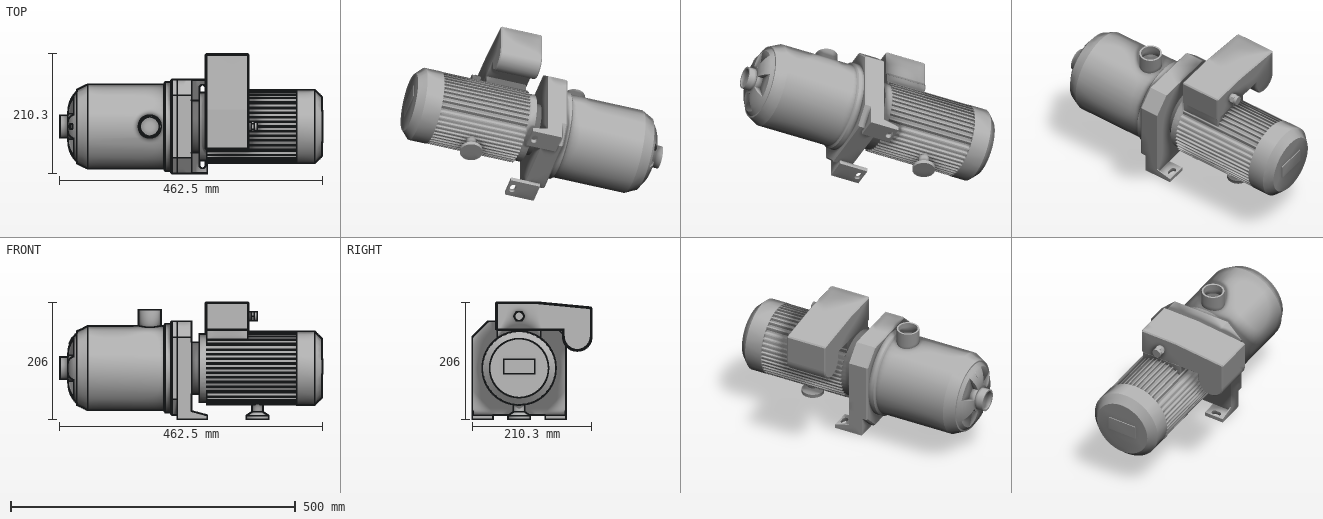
import cadquery as cq
import math


inlet_length = 14.5
pocket_floor_x = 24.5
casing_start = 30.0
shoulder_end = 49.5
ring_cone_start = 182.5
ring_start = 185.5
plate_start = 195.0
bracket_start = 206.0
bracket_end = 231.5
foot_end = 259.5
flange_start = 244.5
fins_start = 258.0
fan_cover_start = 416.5
fan_cover_cone = 447.5
fan_cover_end = 461.0
total_length = 462.5

port_diameter = 39.8
port_bore = 33.7
hub_radius = 24.5
dome_radius = 62.0
pocket_outer_radius = 58.0
pocket_count = 4
pocket_angle = 45.0

plug_diameter = 10.0
plug_height = 48.5
plug_rise = 1.0
plug_back = 27.7

casing_front_diameter = 130.0
casing_diameter = 149.0
ring_diameter = 156.5
outlet_x = 158.0
outlet_top = 102.5
outlet_floor = 83.0

plate_half = 82.8
corner_cut = 28.0
plate_bevel = 2.5
base_z = -90.0
foot_inner_y = 45.8
foot_top_z = -plate_half
rib_root_z = -75.5
rib_thickness = 2.0
slot_x = 250.5
slot_width = 10.0
slot_length = 18.0

neck_diameter = 91.0
core_diameter = 120.0
fin_tip_diameter = 129.0
fin_pitch = 8.15
fin_thickness = 2.0
outer_fin = 5
pedestal_length = 72.5
pedestal_half_width = 38.5
pedestal_top = 66.5

fan_cover_diameter = 130.0
fan_end_diameter = 103.5
badge_width = 54.5
badge_bottom = -10.0
badge_top = 15.3

box_start = 255.5
box_end = 332.0
box_front_y = -40.5
box_back_y = 127.5
box_top = 116.0
box_slope_y = 30.0
box_back_top = 107.0
drop_radius = 25.5
drop_center_z = 55.5
box_bevel = 2.1

gland_z = 91.0
gland_diameter = 16.0
gland_body_end = 336.0
gland_hex_end = 341.5
gland_end = 347.0

support_x = 347.0
support_post_diameter = 20.0
support_base_diameter = 39.8
support_cone_top = -76.7
support_cone_bottom = -83.5
support_top = -55.5


def revolved(points):
    """Solid of revolution about X from (x, radius) points, closed along the axis."""
    outline = [(points[0][0], 0), *points, (points[-1][0], 0)]
    return cq.Workplane("XY").polyline(outline).close().revolve(360, (0, 0, 0), (1, 0, 0))


def x_cylinder(start, end, diameter, y=0, z=0):
    """Cylinder along X between two stations."""
    return cq.Workplane("YZ", origin=(start, y, z)).circle(diameter / 2).extrude(end - start)


def block(x_range, y_range, z_range):
    """Axis-aligned block from its limits on each axis."""
    sides = [high - low for low, high in (x_range, y_range, z_range)]
    corner = (x_range[0], y_range[0], z_range[0])
    return cq.Workplane("XY").box(*sides, centered=False).translate(corner)


def plug_blank():
    return x_cylinder(inlet_length, plug_back, plug_diameter, z=plug_height)


def make_vent_plug():
    """Plug whose face follows the dome and stands slightly proud of it."""
    return plug_blank().intersect(make_dome().translate((-plug_rise, 0, 0)))


def make_dome():
    """Solid dome: an arc that leaves the flat hub face tangentially."""
    span = dome_radius - hub_radius
    sag = casing_start - inlet_length
    arc_radius = (span**2 + sag**2) / (2 * sag)
    half_sweep = math.asin(span / arc_radius) / 2
    arc_middle = (
        inlet_length + arc_radius * (1 - math.cos(half_sweep)),
        hub_radius + arc_radius * math.sin(half_sweep),
    )
    return (
        cq.Workplane("XY")
        .moveTo(inlet_length, 0)
        .lineTo(inlet_length, hub_radius)
        .threePointArc(arc_middle, (casing_start, dome_radius))
        .lineTo(casing_start, 0)
        .close()
        .revolve(360, (0, 0, 0), (1, 0, 0))
    )


def make_inlet_cover():
    tube = x_cylinder(0, inlet_length, port_diameter)
    bore = x_cylinder(0, inlet_length, port_bore)
    return make_dome().cut(pocket_ring()).cut(plug_blank()).union(tube.cut(bore))


def pocket_ring():
    """Wedge pockets on the diagonals, leaving four ribs between hub and rim."""
    depth = pocket_floor_x
    half_angle = math.radians(pocket_angle / 2)
    reach = 2 * pocket_outer_radius
    side = reach * math.sin(half_angle)
    along = reach * math.cos(half_angle)
    wedge = cq.Workplane("YZ").polyline([(0, 0), (along, -side), (along, side)]).close().extrude(depth)
    ring = x_cylinder(0, depth, 2 * pocket_outer_radius).cut(x_cylinder(0, depth, 2 * hub_radius))
    pocket = ring.intersect(wedge)
    step = 360 / pocket_count
    pockets = cq.Workplane("YZ")
    for index in range(pocket_count):
        pockets = pockets.union(pocket.rotate((0, 0, 0), (1, 0, 0), step * (index + 0.5)))
    return pockets


def make_casing():
    body = revolved([
        (casing_start, casing_front_diameter / 2),
        (shoulder_end, casing_diameter / 2),
        (ring_cone_start, casing_diameter / 2),
        (ring_start, ring_diameter / 2),
        (plate_start, ring_diameter / 2),
    ])
    axis_plane = cq.Workplane("XY", origin=(outlet_x, 0, 0))
    outlet = axis_plane.circle(port_diameter / 2).extrude(outlet_top)
    bore = (
        axis_plane.workplane(offset=outlet_floor)
        .circle(port_bore / 2)
        .extrude(outlet_top - outlet_floor)
    )
    return body.union(outlet).cut(bore)


def square_plate(start, end):
    side = 2 * plate_half
    return cq.Workplane("YZ", origin=(start, 0, 0)).rect(side, side).extrude(end - start)


def make_cover_plate():
    plate = square_plate(plate_start, bracket_start).edges("|X").chamfer(corner_cut)
    return plate.faces("<X").chamfer(plate_bevel)


def make_bracket():
    bracket = square_plate(bracket_start, bracket_end).edges("|X and >Z").chamfer(corner_cut)
    for foot in (make_bracket_foot(), make_bracket_foot().mirror("XZ")):
        bracket = bracket.union(foot)
    return bracket


def make_bracket_foot():
    """Flat foot on the +Y side with a slot across the pump axis and a sloping rib on its outer edge."""
    sole = block((bracket_start, foot_end), (foot_inner_y, plate_half), (base_z, foot_top_z))
    rib = (
        cq.Workplane("XZ", origin=(0, plate_half, 0))
        .polyline([(bracket_end, foot_top_z), (foot_end, foot_top_z), (bracket_end, rib_root_z)])
        .close()
        .extrude(rib_thickness)
    )
    slot = (
        cq.Workplane("XY", origin=(slot_x, (foot_inner_y + plate_half) / 2, base_z))
        .slot2D(slot_length, slot_width, 90)
        .extrude(foot_top_z - base_z)
    )
    return sole.union(rib).cut(slot)


def make_motor():
    motor = revolved([
        (bracket_end, neck_diameter / 2),
        (flange_start, neck_diameter / 2),
        (flange_start, core_diameter / 2),
        (fan_cover_start, core_diameter / 2),
    ])
    pedestal = block(
        (fins_start, fins_start + pedestal_length),
        (-pedestal_half_width, pedestal_half_width),
        (0, pedestal_top),
    )
    return motor.union(make_fins()).union(pedestal).cut(make_support())


def make_fins():
    """Cooling fins: parallel plates across the motor in both directions, turned to a cylinder."""
    span = (fins_start, fan_cover_start)
    radius = fin_tip_diameter / 2
    plates = cq.Workplane("XY")
    for index in range(-outer_fin, outer_fin + 1):
        middle = index * fin_pitch
        plate = block(span, (middle - fin_thickness / 2, middle + fin_thickness / 2), (-radius, radius))
        plates = plates.union(plate).union(plate.rotate((0, 0, 0), (1, 0, 0), 90))
    return plates.intersect(x_cylinder(*span, fin_tip_diameter))


def make_fan_cover():
    cover = revolved([
        (fan_cover_start, fan_cover_diameter / 2),
        (fan_cover_cone, fan_cover_diameter / 2),
        (fan_cover_end, fan_end_diameter / 2),
    ])
    badge = block(
        (fan_cover_end, total_length),
        (-badge_width / 2, badge_width / 2),
        (badge_bottom, badge_top),
    )
    return cover.union(badge)


def make_terminal_box():
    drop_inner_y = box_back_y - 2 * drop_radius
    drop_bottom = (box_back_y - drop_radius, drop_center_z - drop_radius)
    box = (
        cq.Workplane("YZ", origin=(box_start, 0, 0))
        .moveTo(box_front_y, pedestal_top)
        .lineTo(box_front_y, box_top)
        .lineTo(box_slope_y, box_top)
        .lineTo(box_back_y, box_back_top)
        .lineTo(box_back_y, drop_center_z)
        .threePointArc(drop_bottom, (drop_inner_y, drop_center_z))
        .lineTo(drop_inner_y, pedestal_top)
        .close()
        .extrude(box_end - box_start)
    )
    box = box.edges("|X").edges("<Y").chamfer(box_bevel)
    box = box.faces(">Y").edges(">Z").chamfer(box_bevel)
    return box.faces("<X or >X").chamfer(box_bevel)


def make_cable_gland():
    body = x_cylinder(box_end, gland_end, gland_diameter)
    nut = (
        cq.Workplane("YZ", origin=(gland_body_end, 0, 0))
        .polygon(6, gland_diameter / math.cos(math.radians(30)))
        .extrude(gland_hex_end - gland_body_end)
    )
    between = x_cylinder(gland_body_end, gland_hex_end, gland_diameter)
    return body.cut(between).union(nut).translate((0, 0, gland_z))


def make_support():
    """Round foot under the motor; its post goes into the motor core."""
    post = support_post_diameter / 2
    base = support_base_diameter / 2
    outline = [
        (0, base_z),
        (base, base_z),
        (base, support_cone_bottom),
        (post, support_cone_top),
        (post, support_top),
        (0, support_top),
    ]
    profile = cq.Workplane("XZ").polyline(outline).close()
    return profile.revolve(360, (0, 0, 0), (0, 1, 0)).translate((support_x, 0, 0))


inlet_cover = make_inlet_cover()
vent_plug = make_vent_plug()
casing = make_casing()
cover_plate = make_cover_plate()
bracket = make_bracket()
motor = make_motor()
fan_cover = make_fan_cover()
terminal_box = make_terminal_box()
cable_gland = make_cable_gland()
support = make_support()

result = cq.Compound.makeCompound([
    inlet_cover.val(),
    vent_plug.val(),
    casing.val(),
    cover_plate.val(),
    bracket.val(),
    motor.val(),
    fan_cover.val(),
    terminal_box.val(),
    cable_gland.val(),
    support.val(),
])